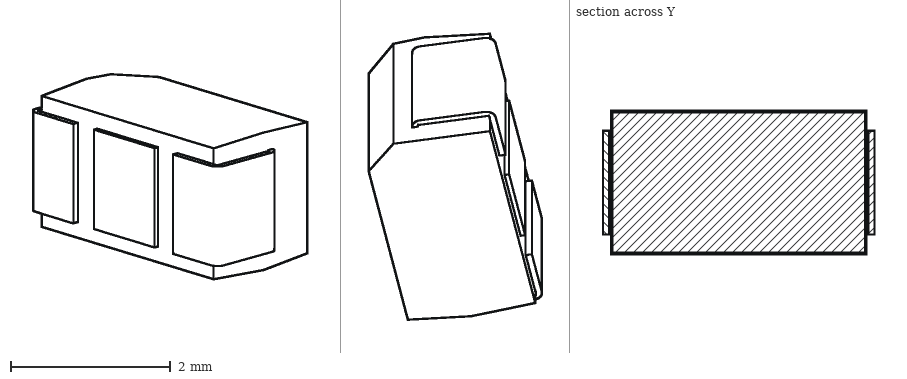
import cadquery as cq

overall_length = 3.4
overall_depth = 1.7
front_y = -overall_depth / 2
back_y = overall_depth / 2

lead_thickness = 0.078
lead_height = 1.3
lead_foot_length = 0.8
lead_side_depth = 1.06
lead_bend_radius = 0.12

housing_length = 3.2
housing_height = 1.8
draft_angle = 3.0
back_half_depth = 0.8
housing_front_y = front_y + lead_thickness
parting_y = back_y - back_half_depth
front_half_depth = parting_y - housing_front_y

chamfer_vertex_x = -1.58
chamfer_back_x = -1.132
chamfer_depth = 0.4

pad_length = 1.1
pad_height = lead_height
pad_thickness = 0.058


def drafted_half(direction, depth):
    """Half of the housing, tapering from the parting plane along +Y (1) or -Y (-1)."""
    plane = cq.Plane(origin=(0, parting_y, 0), xDir=(1, 0, 0), normal=(0, direction, 0))
    return (
        cq.Workplane(plane)
        .rect(housing_length, housing_height)
        .extrude(depth, taper=draft_angle)
    )


def corner_wedge():
    """Triangular prism that cuts the chamfer over the full height."""
    run = chamfer_back_x - chamfer_vertex_x
    return (
        cq.Workplane("XY")
        .moveTo(chamfer_vertex_x - run, back_y - 2 * chamfer_depth)
        .lineTo(chamfer_back_x + run, back_y + chamfer_depth)
        .lineTo(chamfer_vertex_x - run, back_y + chamfer_depth)
        .close()
        .extrude(housing_height / 2, both=True)
    )


def middle_pad():
    return cq.Workplane("XY").box(pad_length, pad_thickness, pad_height).translate(
        (0, housing_front_y - pad_thickness / 2, 0)
    )


def make_housing():
    halves = drafted_half(1, back_half_depth).union(drafted_half(-1, front_half_depth))
    return halves.cut(corner_wedge()).union(middle_pad()).solids()


def make_lead(side, housing):
    """C-shaped lead at the -X (-1) or +X (1) end; its short back tab stops at the housing's end face."""
    outer_x = side * overall_length / 2
    inner_x = outer_x - side * lead_thickness
    foot_end_x = outer_x - side * lead_foot_length
    bend_x = outer_x - side * lead_bend_radius
    lead_back_y = front_y + lead_side_depth
    strip = (
        cq.Workplane("XY")
        .moveTo(foot_end_x, front_y)
        .lineTo(bend_x, front_y)
        .radiusArc((outer_x, front_y + lead_bend_radius), -side * lead_bend_radius)
        .lineTo(outer_x, lead_back_y - lead_bend_radius)
        .radiusArc((bend_x, lead_back_y), -side * lead_bend_radius)
        .lineTo(bend_x, lead_back_y - lead_thickness)
        .lineTo(inner_x, lead_back_y - lead_thickness)
        .lineTo(inner_x, housing_front_y)
        .lineTo(foot_end_x, housing_front_y)
        .close()
        .extrude(lead_height / 2, both=True)
    )
    return strip.cut(housing).solids()


housing = make_housing()
leads = [make_lead(side, housing) for side in (-1, 1)]

result = cq.Compound.makeCompound([housing.val(), *[lead.val() for lead in leads]])